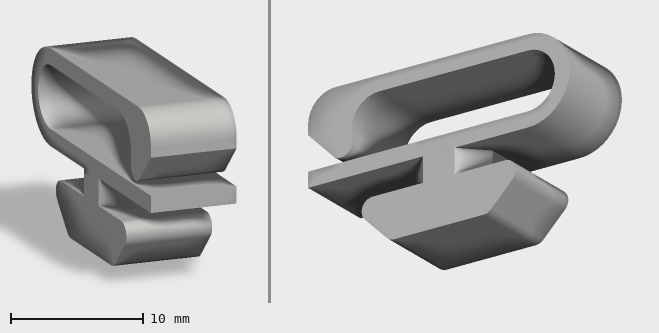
import cadquery as cq
import math

length = 24.0
depth = 7.0
height = 13.9

wall = 1.35
clip_height = 7.7
outer_radius = clip_height / 2
inner_radius = outer_radius - wall
hook_width = 4.0
hook_corner_radius = 2.5
hook_side_height = 3.35
tip_radius = 1.0

foot_height = 4.0
foot_base_width = 9.0
foot_edge_radius = 1.0
foot_top_width = foot_base_width + 2 * foot_height
neck_width = depth

clip_bottom = height - clip_height
slot_bottom = clip_bottom + wall
slot_top = height - wall
clip_middle = clip_bottom + outer_radius
hook_inside = length - hook_width
neck_center = length / 2
hook_side_bottom = height - hook_side_height

sharp_tip = hook_side_bottom - hook_width
tip_center_x = hook_inside + tip_radius
tip_center_z = sharp_tip + tip_radius * (1 + math.sqrt(2))
lead_in_offset = tip_radius * math.sin(math.pi / 4)


def extrude_profile(profile):
    """Extrude an XZ profile through the full depth, centred on Y = 0."""
    return profile.close().extrude(depth / 2, both=True)


def round_edge_near(body, x, z, radius):
    """Round the Y-direction edge closest to the point (x, z)."""
    edge = cq.selectors.NearestToPointSelector((x, 0, z))
    return body.edges("|Y").edges(edge).fillet(radius)


def make_clip():
    profile = (
        cq.Workplane("XZ")
        .moveTo(length, clip_bottom)
        .lineTo(outer_radius, clip_bottom)
        .threePointArc((0, clip_middle), (outer_radius, height))
        .lineTo(length, height)
        .lineTo(length, hook_side_bottom)
        .lineTo(tip_center_x + lead_in_offset, tip_center_z - lead_in_offset)
        .threePointArc((tip_center_x, tip_center_z - tip_radius), (hook_inside, tip_center_z))
        .lineTo(hook_inside, slot_top)
        .lineTo(outer_radius, slot_top)
        .threePointArc((wall, clip_middle), (outer_radius, slot_bottom))
        .lineTo(length, slot_bottom)
    )
    clip = extrude_profile(profile)
    clip = round_edge_near(clip, length, height, hook_corner_radius)
    return round_edge_near(clip, hook_inside, slot_top, inner_radius)


def make_foot():
    profile = (
        cq.Workplane("XZ")
        .moveTo(neck_center - foot_base_width / 2, 0)
        .lineTo(neck_center + foot_base_width / 2, 0)
        .lineTo(neck_center + foot_top_width / 2, foot_height)
        .lineTo(neck_center - foot_top_width / 2, foot_height)
    )
    return extrude_profile(profile).edges("|Y").fillet(foot_edge_radius)


def make_neck():
    corner_diameter = neck_width / math.cos(math.pi / 8)
    return (
        cq.Workplane("XY", origin=(neck_center, 0, foot_height))
        .transformed(rotate=(0, 0, 180 / 8))
        .polygon(8, corner_diameter)
        .extrude(clip_bottom - foot_height)
    )


result = make_clip().union(make_foot()).union(make_neck()).clean()